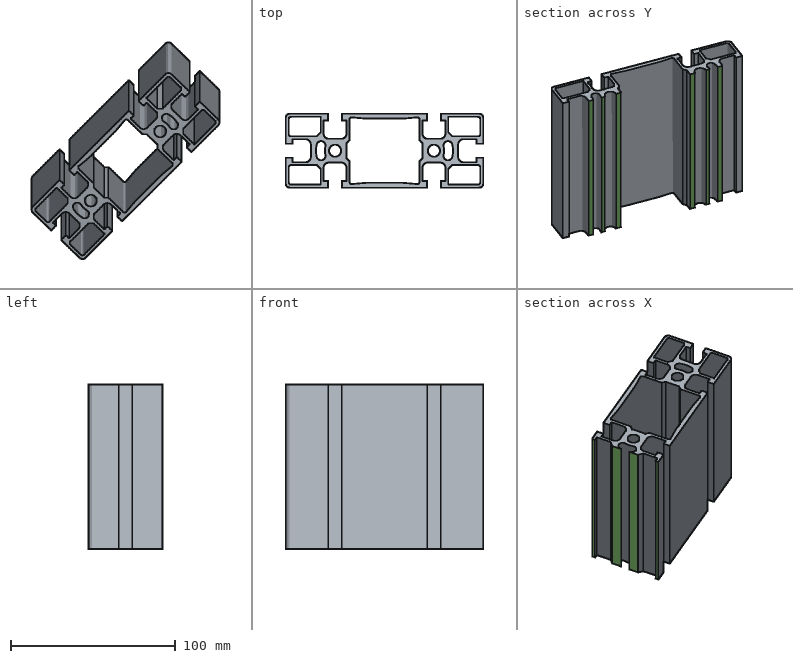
import cadquery as cq
import math

WIDTH = 120.0
DEPTH = 45.0
LENGTH = 100.0
CORNER_RADIUS = 2.5
HALF_WIDTH = WIDTH / 2
HALF_DEPTH = DEPTH / 2

SLOT_X = 30.0
MOUTH_WIDTH = 8.4
CHANNEL_WIDTH = 13.8
LIP_THICKNESS = 4.2
SLOT_DEPTH = 15.2
FLOOR_RADIUS = 3.1

WALL = 1.9
LONG_WALL = 2.0
POCKET_RADIUS = 1.2
POCKET_CHAMFER = 2.3
pocket_outer_x = HALF_WIDTH - WALL
pocket_inner_x = SLOT_X + CHANNEL_WIDTH / 2 + WALL
pocket_outer_y = HALF_DEPTH - LONG_WALL
pocket_inner_y = CHANNEL_WIDTH / 2 + WALL

BORE_DIAMETER = 7.2
CURVED_SLOT_WIDTH = 5.3
CURVED_SLOT_HALF_HEIGHT = 5.8
CURVED_SLOT_RADIUS = 13.5
CURVED_SLOT_X = 38.9

CAVITY_CORNER_RADIUS = 1.2
CAVITY_END_Y = 20.3
CAVITY_MID_Y = 19.5
CAVITY_FLAT_X = 11.5
RECESS_DEPTH = 1.8
RECESS_FLOOR_Y = 4.5
RECESS_MOUTH_Y = 6.4
cavity_x = SLOT_X - CHANNEL_WIDTH / 2 - WALL


def prism(outline):
    """Extrude a closed outline over the full length."""
    return outline.extrude(LENGTH)


def box_between(x0, x1, y0, y1):
    """Full-length box spanning the given X and Y limits."""
    return prism(cq.Workplane("XY").center((x0 + x1) / 2, (y0 + y1) / 2).rect(x1 - x0, y1 - y0))


def t_slot():
    """T-slot cutter opening toward +Y, with the mouth plane at Y = 0."""
    half_mouth = MOUTH_WIDTH / 2
    half_channel = CHANNEL_WIDTH / 2
    mouth = box_between(-half_mouth, half_mouth, -LIP_THICKNESS, 0)
    channel = box_between(-half_channel, half_channel, -SLOT_DEPTH, -LIP_THICKNESS)
    channel = channel.edges("|Z and <Y").fillet(FLOOR_RADIUS)
    return mouth.union(channel)


def corner_pocket():
    """Pocket in the +X +Y corner, chamfered where the two slots meet."""
    pocket = box_between(pocket_inner_x, pocket_outer_x, pocket_inner_y, pocket_outer_y)
    pocket = pocket.edges("|Z and >X").fillet(POCKET_RADIUS)
    return pocket.edges("|Z and <X and <Y").chamfer(POCKET_CHAMFER)


def curved_slot():
    """Curved slot on the +X side, bowed away from the centre of the part."""
    end_radius = CURVED_SLOT_WIDTH / 2
    sweep = math.asin((CURVED_SLOT_HALF_HEIGHT - end_radius) / CURVED_SLOT_RADIUS)
    arc_centre_x = CURVED_SLOT_X - CURVED_SLOT_RADIUS

    def on_arc(radius, angle):
        return (arc_centre_x + radius * math.cos(angle), radius * math.sin(angle))

    def end_tip(side):
        x, y = on_arc(CURVED_SLOT_RADIUS, side * sweep)
        return (x - end_radius * math.sin(sweep), y + side * end_radius * math.cos(sweep))

    inner = CURVED_SLOT_RADIUS - end_radius
    outer = CURVED_SLOT_RADIUS + end_radius
    return prism(
        cq.Workplane("XY")
        .moveTo(*on_arc(outer, -sweep))
        .threePointArc(on_arc(outer, 0), on_arc(outer, sweep))
        .threePointArc(end_tip(1), on_arc(inner, sweep))
        .threePointArc(on_arc(inner, 0), on_arc(inner, -sweep))
        .threePointArc(end_tip(-1), on_arc(outer, -sweep))
        .close()
    )


def central_cavity():
    """Cavity with long walls thickened in the middle and a recess in each end wall."""
    quarter = [
        (cavity_x + RECESS_DEPTH, RECESS_FLOOR_Y),
        (cavity_x, RECESS_MOUTH_Y),
        (cavity_x, CAVITY_END_Y),
        (CAVITY_FLAT_X, CAVITY_MID_Y),
    ]
    upper = quarter + [(-x, y) for x, y in reversed(quarter)]
    lower = [(x, -y) for x, y in reversed(upper)]
    cavity = prism(cq.Workplane("XY").polyline(upper + lower).close())
    cavity = cavity.edges("|Z and (>Y or <Y)").fillet(CAVITY_CORNER_RADIUS)
    return cavity


def on_both_ends(cutter):
    """Cutter on the +X side together with its mirror image on the -X side."""
    return cutter.union(cutter.mirror("YZ"))


def on_both_faces(cutter):
    """Cutter on the +Y side together with its mirror image on the -Y side."""
    return cutter.union(cutter.mirror("XZ"))


bore = prism(cq.Workplane("XY").center(SLOT_X, 0).circle(BORE_DIAMETER / 2))
end_slot = t_slot().rotate((0, 0, 0), (0, 0, 1), -90).translate((HALF_WIDTH, 0, 0))
long_slot = t_slot().translate((SLOT_X, HALF_DEPTH, 0))

result = prism(cq.Workplane("XY").rect(WIDTH, DEPTH)).edges("|Z").fillet(CORNER_RADIUS)
result = result.cut(central_cavity())
result = result.cut(on_both_ends(bore))
result = result.cut(on_both_ends(curved_slot()))
result = result.cut(on_both_ends(end_slot))
result = result.cut(on_both_ends(on_both_faces(long_slot)))
result = result.cut(on_both_ends(on_both_faces(corner_pocket())))